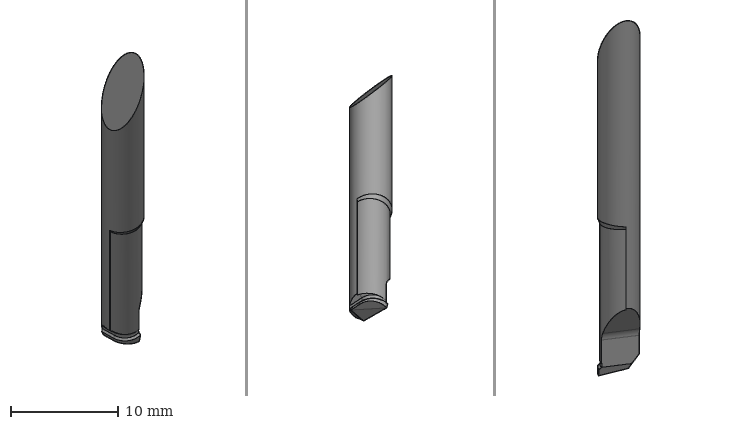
import cadquery as cq
import math

length = 35.7
radius = 2.0
slant_angle = math.radians(30)
slant_drop = 2 * radius / math.tan(slant_angle)

flat_y = 0.18
runout_top_z = 7.15
runout_bottom_z = runout_top_z - (radius - flat_y) / math.tan(slant_angle)
runout_fillet = 1.43

relief_radius = 1.9
relief_center_x = -0.1
relief_end_z = 14.95
relief_cone_height = 0.7
relief_cone_growth = 0.3

seat_z = 0.9
bevel_top_z = 1.8
corner_axis_x = 0.25
bevel_top_radius = radius
groove_start_radius = 1.57
groove_start_z = 1.4
groove_middle_radius = 1.5
groove_middle_z = 1.15
neck_radius = 1.55
side_bevel_z = 1.8
side_bevel_x = -1.25

tip_rake_y = -0.05
tip_radius = radius - corner_axis_x
tip_flare_bottom_z = 0.7
tip_heel_z = 0.4
tip_corner_x = -0.93
tip_corner_z = 0.4

margin = 0.35
outer = radius + margin


def side_prism(outline):
    """Extrude a closed (y, z) workplane outline across the full bar width."""
    return outline.close().extrude(outer, both=True)


def side_plane():
    return cq.Workplane("YZ")


def cut_top_slant(body):
    outline = (
        side_plane()
        .moveTo(-radius, length - slant_drop)
        .lineTo(radius, length)
        .lineTo(radius, length + margin)
        .lineTo(-radius, length + margin)
    )
    return body.cut(side_prism(outline))


def cut_flat(body):
    outline = (
        side_plane()
        .moveTo(flat_y, 0)
        .lineTo(flat_y, runout_bottom_z)
        .lineTo(outer, runout_top_z + margin / math.tan(slant_angle))
        .lineTo(outer, 0)
    )
    cutter = side_prism(outline)
    corner = cq.selectors.NearestToPointSelector((0, flat_y, runout_bottom_z))
    return body.cut(cutter.edges(corner).fillet(runout_fillet))


def round_corner_solid(outline, bottom_z, top_z):
    """Sweep a (radius, z) outline: straight along the front, then around the +X corner."""
    profile = outline.close()
    corner = profile.revolve(360, (0, 0), (0, 1)).translate((corner_axis_x, 0, 0))
    front = profile.toPending().extrude(outer).rotate((0, 0, 0), (0, 0, 1), -90)
    back = cq.Workplane("XY").box(outer, outer, top_z - bottom_z, centered=False)
    straight = front.translate((corner_axis_x, 0, 0))
    return corner.union(straight).union(back.translate((corner_axis_x - outer, 0, bottom_z)))


def cut_relief(body):
    """Thin the +X half of the neck to an offset cylinder that flares into the full bar."""
    height = relief_end_z + relief_cone_height
    half = cq.Workplane("XY").box(outer, 2 * outer, height, centered=(False, True, False))
    kept = (
        cq.Workplane("XZ")
        .lineTo(relief_radius, 0)
        .lineTo(relief_radius, relief_end_z)
        .lineTo(relief_radius + relief_cone_growth, height)
        .lineTo(0, height)
        .close()
        .revolve(360, (0, 0), (0, 1))
        .translate((relief_center_x, 0, 0))
    )
    return body.cut(half.cut(kept))


def cut_front_bevel(body):
    """Bevel the front of the lower end, ending in a shallow hollow above the tip."""
    outline = (
        cq.Workplane("XZ")
        .moveTo(0, bevel_top_z)
        .lineTo(bevel_top_radius, bevel_top_z)
        .lineTo(groove_start_radius, groove_start_z)
        .threePointArc((groove_middle_radius, groove_middle_z), (neck_radius, seat_z))
        .lineTo(0, seat_z)
    )
    kept = round_corner_solid(outline, seat_z, bevel_top_z)
    slab = cq.Workplane("XY").workplane(offset=seat_z).circle(outer).extrude(bevel_top_z - seat_z)
    return body.cut(slab.cut(kept))


def cut_side_bevel(body):
    cutter = (
        cq.Workplane("XZ")
        .moveTo(-radius, side_bevel_z)
        .lineTo(side_bevel_x, seat_z)
        .lineTo(-outer, seat_z)
        .lineTo(-outer, side_bevel_z)
        .close()
        .extrude(outer, both=True)
    )
    return body.cut(cutter)


def make_shank():
    body = cq.Workplane("XY").workplane(offset=seat_z).circle(radius).extrude(length - seat_z)
    body = cut_top_slant(body)
    body = cut_flat(body)
    body = cut_relief(body)
    body = cut_front_bevel(body)
    return cut_side_bevel(body)


def make_tip():
    """Round-cornered tip, flared to the cutting point and sloped for clearance."""
    outline = (
        cq.Workplane("XZ")
        .lineTo(tip_radius, 0)
        .lineTo(tip_radius, tip_flare_bottom_z)
        .lineTo(neck_radius, seat_z)
        .lineTo(0, seat_z)
    )
    flare = round_corner_solid(outline, 0, seat_z)
    front_profile = (
        cq.Workplane("XZ")
        .moveTo(side_bevel_x, seat_z)
        .lineTo(tip_corner_x, tip_corner_z)
        .lineTo(radius, 0)
        .lineTo(radius, seat_z)
        .close()
        .extrude(outer, both=True)
    )
    side_profile = side_prism(
        side_plane()
        .moveTo(flat_y, seat_z)
        .lineTo(tip_rake_y, 0)
        .lineTo(-tip_radius, tip_heel_z)
        .lineTo(-tip_radius, seat_z)
    )
    return flare.intersect(front_profile).intersect(side_profile)


shank = make_shank()
tip = make_tip()
result = cq.Compound.makeCompound([shank.val(), tip.val()])